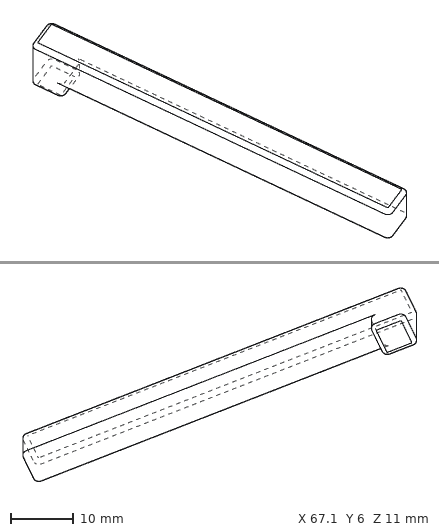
import cadquery as cq

length = 67.1
width = 6.0
height = 11.0

bar_height = 7.0
hook_length = width
edge_chamfer = 0.8
corner_radius = 0.95


def block(size_x, size_z):
    """Block with its -X end at X = 0: rounded upright corners, chamfered top rim."""
    return (
        cq.Workplane("XY")
        .box(size_x, width, size_z, centered=(False, True, False))
        .translate((0, 0, height - size_z))
        .edges("|Z")
        .fillet(corner_radius)
        .faces(">Z")
        .chamfer(edge_chamfer)
    )


bar = block(length, bar_height)
hook = block(hook_length, height).faces("<Z").chamfer(edge_chamfer)

result = bar.union(hook)